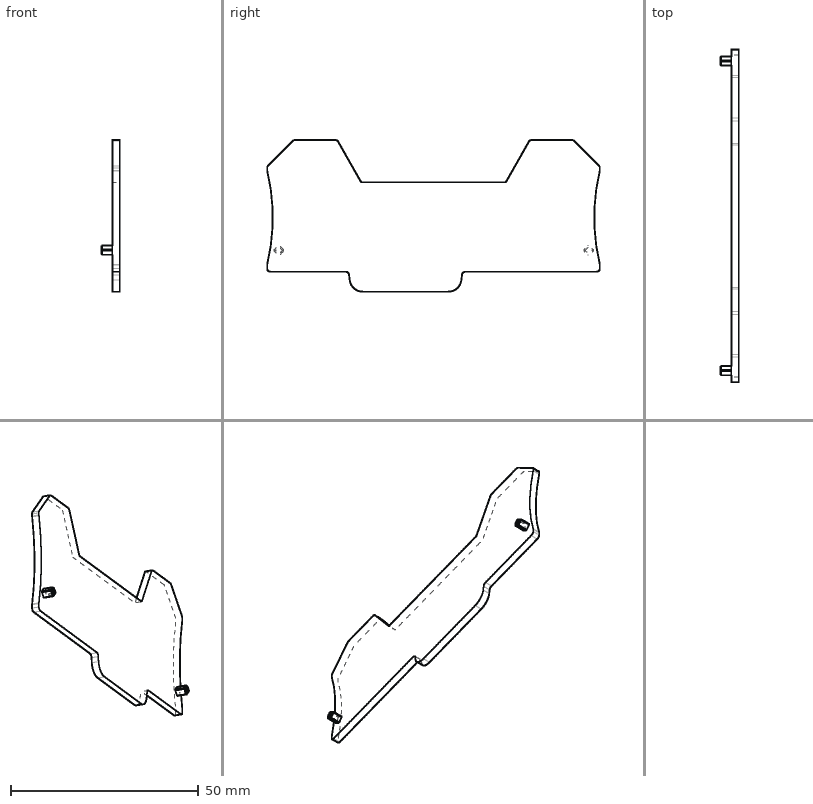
import cadquery as cq

plate_thickness = 2.05
length = 88.9
height = 40.5
half_length = length / 2
shoulder_chamfer = 7.1
corner_radius = 0.9

notch_top_half_width = 25.7
notch_floor_half_width = 19.3
notch_floor_z = 29.25
notch_floor_radius = 0.45

waist_depth = 1.5
waist_middle_z = 19.8
waist_mouth_half_height = 12.5

lower_edge_z = 5.3
tab_center_y = -7.5
tab_root_half_width = 15.2
tab_tip_half_width = 14.6
tab_corner_radius = 3.6

pin_width = 2.05
pin_edge_chamfer = 0.3
pin_turn = 45.0
pin_length = 3.0
pin_tip_chamfer = 0.4
pin_offset_y = 41.3
pin_z = 11.1


def end_outline(side):
    """Corners of one end, from the lower edge up to the notch floor; side is +1 or -1."""
    points = [
        (half_length, lower_edge_z),
        (half_length, waist_middle_z - waist_mouth_half_height),
        (half_length, waist_middle_z + waist_mouth_half_height),
        (half_length, height - shoulder_chamfer),
        (half_length - shoulder_chamfer, height),
        (notch_top_half_width, height),
        (notch_floor_half_width, notch_floor_z),
    ]
    return [(side * y, z) for y, z in points]


def corners_at(body, points):
    """Plate edges along X that pass through the given outline points."""
    reach = 0.1
    boxes = [
        cq.selectors.BoxSelector(
            (-reach, y - reach, z - reach),
            (plate_thickness + reach, y + reach, z + reach),
            boundingbox=False,
        )
        for y, z in points
    ]
    combined = boxes[0]
    for box in boxes[1:]:
        combined = combined + box
    return body.edges("|X").edges(combined)


def make_plate():
    tab_root = [(tab_center_y + side * tab_root_half_width, lower_edge_z) for side in (-1, 1)]
    tab_tip = [(tab_center_y + side * tab_tip_half_width, 0) for side in (-1, 1)]
    right_end = end_outline(1)
    left_end = end_outline(-1)
    waist_y = half_length - waist_depth
    plate = (
        cq.Workplane("YZ")
        .polyline([tab_root[0], tab_tip[0], tab_tip[1], tab_root[1]] + right_end[:2])
        .threePointArc((waist_y, waist_middle_z), right_end[2])
        .polyline(right_end[3:] + left_end[:1:-1], includeCurrent=True)
        .threePointArc((-waist_y, waist_middle_z), left_end[1])
        .lineTo(*left_end[0])
        .close()
        .extrude(plate_thickness)
    )
    plate = corners_at(plate, tab_root + right_end[:-1] + left_end[:-1]).fillet(corner_radius)
    plate = corners_at(plate, [right_end[-1], left_end[-1]]).fillet(notch_floor_radius)
    return corners_at(plate, tab_tip).fillet(tab_corner_radius)


def make_pin(y):
    """Square pin with chamfered edges, turned so they point along Y and Z, and a chamfered tip."""
    return (
        cq.Workplane("YZ")
        .rect(pin_width, pin_width)
        .extrude(-pin_length)
        .edges("|X")
        .chamfer(pin_edge_chamfer)
        .faces("<X")
        .chamfer(pin_tip_chamfer)
        .rotate((0, 0, 0), (1, 0, 0), pin_turn)
        .translate((0, y, pin_z))
    )


result = make_plate()
for pin_y in (-pin_offset_y, pin_offset_y):
    result = result.union(make_pin(pin_y))